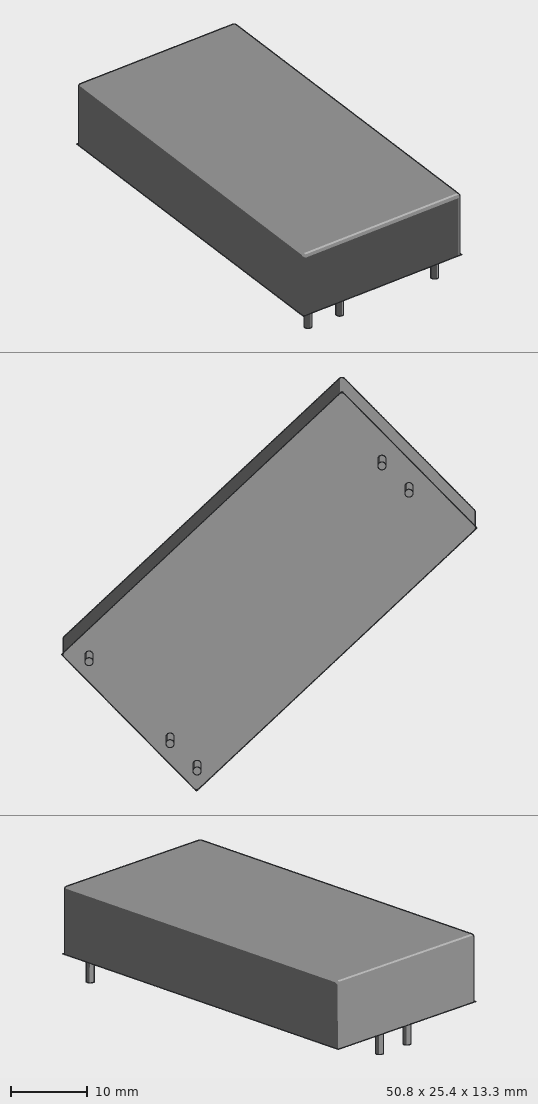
import cadquery as cq

length = 50.8
width = length / 2
total_height = 13.3

pin_length = 3.85
case_edge_radius = 0.5
plate_thickness = 0.01
case_height = total_height - pin_length - plate_thickness

pin_diameter = 1.05
pin_pitch = 2.55
pin_row_x = 9 * pin_pitch
input_pin_ys = [-pin_pitch, pin_pitch]
output_pin_ys = [-4 * pin_pitch, -2 * pin_pitch, 4 * pin_pitch]


def make_case():
    """Block with rounded upright and top edges, resting on the base plate."""
    block = cq.Workplane("XY").box(length, width, case_height, centered=(True, True, False))
    rounded = block.edges("|Z or >Z").fillet(case_edge_radius)
    return rounded.translate((0, 0, pin_length + plate_thickness))


def make_base_plate():
    """Thin sheet with sharp corners that closes the underside of the case."""
    plate = cq.Workplane("XY").box(length, width, plate_thickness, centered=(True, True, False))
    return plate.translate((0, 0, pin_length))


def make_pin(x, y):
    """Round pin running from the lowest level up to the base plate."""
    pin = cq.Workplane("XY").circle(pin_diameter / 2).extrude(pin_length)
    return pin.translate((x, y, 0))


case = make_case()
base_plate = make_base_plate()

pin_places = [(-pin_row_x, y) for y in input_pin_ys]
pin_places += [(pin_row_x, y) for y in output_pin_ys]
pins = [make_pin(x, y) for x, y in pin_places]

result = cq.Compound.makeCompound([case.val(), base_plate.val(), *[pin.val() for pin in pins]])